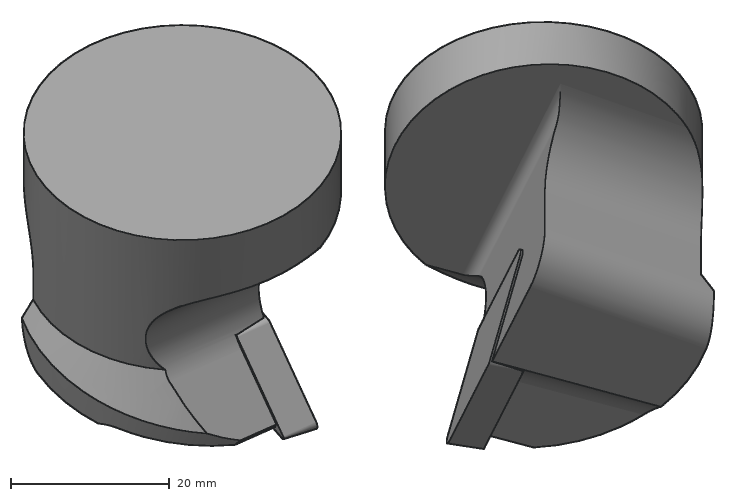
import cadquery as cq
import math


def sin(angle):
    return math.sin(math.radians(angle))


def cos(angle):
    return math.cos(math.radians(angle))


def tan(angle):
    return math.tan(math.radians(angle))


REACH = 60.0

shank_radius = 20.0
shank_bottom_z = -22.3
flare_angle = 50.0
jaw_radius = 23.7
jaw_center = (2.6, 1.11)

floor_angle = 5.0
flange_edge_z = -7.15
neck_left_x = -6.64
neck_fillet = 10.0
neck_corner_radius = 5.58
neck_corner_z = -23.9

rake_angle = 6.0
nose_x = 26.86
nose_z = -32.0
neck_face_drop = 0.3
neck_face_fillet = 1.5

insert_circle = 9.525
insert_angle = 35.0
insert_thickness = 4.76
insert_clearance = 6.0
insert_nose_radius = 0.8

gullet_radius = 7.8
gullet_u = -5.2
gullet_z = -17.4
jaw_tip_u = -2.2
relief_u = -12.2
relief_z = -29.92
relief_runout_radius = 5.0

upper_edge_angle = floor_angle + insert_angle
nose_axis_angle = floor_angle + insert_angle / 2

rake_plane = cq.Plane(
    origin=(nose_x, 0, 0),
    xDir=(cos(rake_angle), -sin(rake_angle), 0),
    normal=(-sin(rake_angle), -cos(rake_angle), 0),
)


def flange_z(x):
    """Height of the flange underside at x."""
    return flange_edge_z - (x + shank_radius) * tan(floor_angle)


def make_blank():
    """Shank cylinder with the flared jaw below it."""
    shank = cq.Workplane("XY").circle(shank_radius).extrude(shank_bottom_z)
    flare_depth = -nose_z + shank_bottom_z
    flare_radius = shank_radius + flare_depth / tan(flare_angle)
    flare = (
        cq.Workplane("XZ")
        .moveTo(0, shank_bottom_z)
        .lineTo(shank_radius, shank_bottom_z)
        .lineTo(flare_radius, nose_z)
        .lineTo(0, nose_z)
        .close()
        .revolve(360, (0, 0), (0, 1))
    )
    jaw = cq.Workplane("XY").center(*jaw_center).circle(jaw_radius).extrude(nose_z)
    return shank.union(flare.intersect(jaw))


def make_undercut():
    """Space left of the neck and under the jaw, straight along Y."""
    half_turn = (90 - floor_angle) / 2
    fillet_x = neck_left_x - neck_fillet
    fillet_start_x = fillet_x + neck_fillet * sin(floor_angle)
    fillet_end_z = flange_z(fillet_start_x) - neck_fillet * cos(floor_angle)
    corner_x = neck_left_x + neck_corner_radius
    floor_x = corner_x - neck_corner_radius * sin(floor_angle)
    floor_z = neck_corner_z - neck_corner_radius * cos(floor_angle)
    return (
        cq.Workplane("XZ")
        .moveTo(-REACH, flange_z(-REACH))
        .lineTo(fillet_start_x, flange_z(fillet_start_x))
        .threePointArc(
            (fillet_x + neck_fillet * cos(half_turn), fillet_end_z + neck_fillet * sin(half_turn)),
            (neck_left_x, fillet_end_z),
        )
        .lineTo(neck_left_x, neck_corner_z)
        .threePointArc(
            (
                corner_x - neck_corner_radius * cos(half_turn),
                neck_corner_z - neck_corner_radius * sin(half_turn),
            ),
            (floor_x, floor_z),
        )
        .lineTo(REACH, floor_z - (REACH - floor_x) * tan(floor_angle))
        .lineTo(REACH, -REACH)
        .lineTo(-REACH, -REACH)
        .close()
        .extrude(REACH, both=True)
    )


def make_face_cut():
    """Space in front of the neck face, under the flange, with a filleted inner edge."""
    below_flange = (
        cq.Workplane("XZ")
        .moveTo(-REACH, flange_z(-REACH))
        .lineTo(REACH, flange_z(REACH))
        .lineTo(REACH, -REACH)
        .lineTo(-REACH, -REACH)
        .close()
        .extrude(REACH, both=True)
    )
    ahead_of_face = (
        cq.Workplane(rake_plane)
        .workplane(offset=neck_face_drop)
        .rect(4 * REACH, 4 * REACH)
        .extrude(-REACH)
    )
    face_y = nose_x * tan(rake_angle) - neck_face_drop / cos(rake_angle)
    inner_edge = cq.selectors.NearestToPointSelector((0, face_y, flange_z(0)))
    return below_flange.intersect(ahead_of_face).edges(inner_edge).fillet(neck_face_fillet)


def make_gullet():
    """Chip gullet, slanted jaw side, blunt jaw nose and bottom relief, square to the rake plane."""
    side_u = gullet_u - gullet_radius * sin(upper_edge_angle)
    side_z = gullet_z - gullet_radius * cos(upper_edge_angle)
    tip_z = side_z - (jaw_tip_u - side_u) * tan(upper_edge_angle)
    tip_height = tip_z - (relief_z - (jaw_tip_u - relief_u) * tan(floor_angle))
    blunt_drop = tip_height / (1 + tan(nose_axis_angle) * tan(floor_angle))
    blunt_u = jaw_tip_u - blunt_drop * tan(nose_axis_angle)
    blunt_z = relief_z - (blunt_u - relief_u) * tan(floor_angle)
    runout_u = relief_u - relief_runout_radius * sin(floor_angle)
    runout_z = relief_z - relief_runout_radius * cos(floor_angle)
    return (
        cq.Workplane(rake_plane)
        .moveTo(gullet_u, gullet_z + gullet_radius)
        .threePointArc((gullet_u - gullet_radius, gullet_z), (side_u, side_z))
        .lineTo(jaw_tip_u, tip_z)
        .lineTo(blunt_u, blunt_z)
        .lineTo(relief_u, relief_z)
        .threePointArc(
            (runout_u - relief_runout_radius * sin(45), runout_z + relief_runout_radius * cos(45)),
            (runout_u - relief_runout_radius, runout_z),
        )
        .lineTo(runout_u, -REACH)
        .lineTo(REACH, -REACH)
        .lineTo(REACH, gullet_z + gullet_radius)
        .close()
        .extrude(REACH, both=True)
    )


def make_insert():
    """Rhombic insert, tapering towards its seat."""
    edge = insert_circle / sin(insert_angle)
    to_corner = insert_nose_radius / sin(insert_angle / 2)
    corner_u = -insert_nose_radius + to_corner * cos(nose_axis_angle)
    corner_z = nose_z + insert_nose_radius - to_corner * sin(nose_axis_angle)
    lower = (-edge * cos(floor_angle), edge * sin(floor_angle))
    upper = (-edge * cos(upper_edge_angle), edge * sin(upper_edge_angle))
    outline = (
        cq.Sketch()
        .polygon([
            (corner_u, corner_z),
            (corner_u + lower[0], corner_z + lower[1]),
            (corner_u + lower[0] + upper[0], corner_z + lower[1] + upper[1]),
            (corner_u + upper[0], corner_z + upper[1]),
            (corner_u, corner_z),
        ])
        .vertices()
        .fillet(insert_nose_radius)
    )
    return cq.Workplane(rake_plane).placeSketch(outline).extrude(insert_thickness, taper=insert_clearance)


insert = make_insert()
holder = make_blank().cut(make_undercut()).cut(make_face_cut()).cut(make_gullet()).cut(insert)

result = cq.Compound.makeCompound([*holder.vals(), insert.val()])